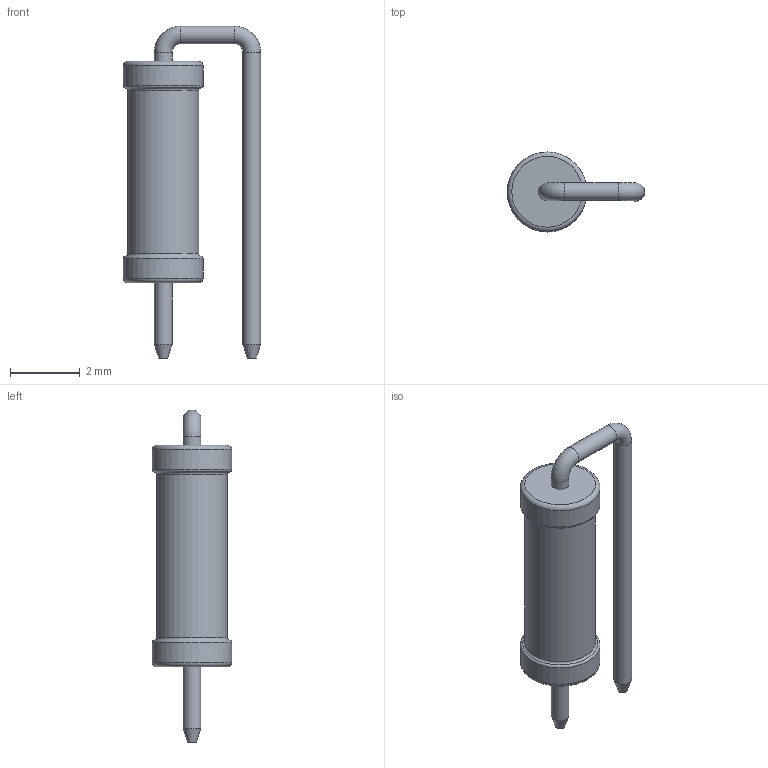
import cadquery as cq
import math

body_length = 6.35
body_diameter = 2.032
cap_diameter = 2.286
cap_length = 0.762
end_fillet = 0.127
step_radius = (cap_diameter - body_diameter) / 4

wire_diameter = 0.508
wire_radius = wire_diameter / 2
lead_pitch = 2.54
bend_radius = wire_diameter
wire_rise = 1.016
pin_length = 2.159
tip_length = 0.381
tip_diameter = wire_diameter / 2

tip_z = -pin_length
taper_start_z = tip_z + tip_length
wire_top_z = body_length + wire_rise - wire_radius


def make_body():
    """Cylindrical body with a rounded, wider cap at each end, revolved as one half and mirrored."""
    body_radius = body_diameter / 2
    cap_radius = cap_diameter / 2
    middle_z = body_length / 2
    lower_half = (
        cq.Workplane("XZ")
        .lineTo(end_fillet - cap_radius, 0)
        .tangentArcPoint((-cap_radius, end_fillet), relative=False)
        .lineTo(-cap_radius, cap_length - step_radius)
        .tangentArcPoint((step_radius - cap_radius, cap_length), relative=False)
        .tangentArcPoint((-body_radius, cap_length + step_radius), relative=False)
        .lineTo(-body_radius, middle_z)
        .lineTo(0, middle_z)
        .close()
        .revolve(360, (0, 0), (0, 1))
    )
    upper_half = lower_half.mirror("XY", (0, 0, middle_z))
    return lower_half.union(upper_half)


def make_wire():
    """Wire running up the body axis, across, and down at the lead pitch."""
    bend_start_z = wire_top_z - bend_radius
    bend_offset = bend_radius * (1 - math.sqrt(0.5))
    path = (
        cq.Workplane("XZ")
        .moveTo(0, taper_start_z)
        .lineTo(0, bend_start_z)
        .threePointArc((bend_offset, wire_top_z - bend_offset), (bend_radius, wire_top_z))
        .lineTo(lead_pitch - bend_radius, wire_top_z)
        .threePointArc((lead_pitch - bend_offset, wire_top_z - bend_offset), (lead_pitch, bend_start_z))
        .lineTo(lead_pitch, taper_start_z)
    )
    return cq.Workplane("XY").workplane(offset=taper_start_z).circle(wire_radius).sweep(path)


def make_tip(x):
    """Tapered, flat-ended tip of one pin."""
    return (
        cq.Workplane("XY", origin=(x, 0, tip_z))
        .circle(tip_diameter / 2)
        .workplane(offset=tip_length)
        .circle(wire_radius)
        .loft()
    )


result = make_body().union(make_wire())
for pin_x in (0, lead_pitch):
    result = result.union(make_tip(pin_x))